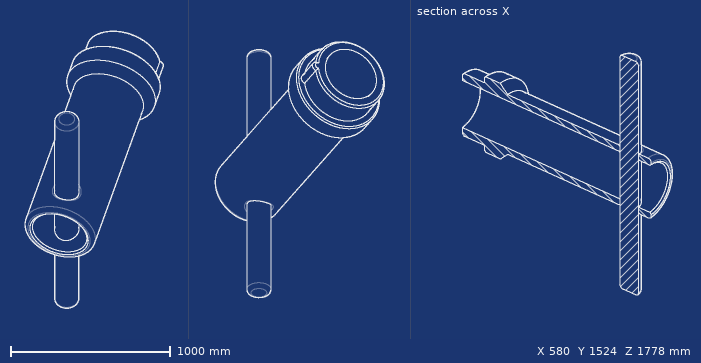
import cadquery as cq

bar_length = 1778.0
bar_radius = 76.0
bar_round = 27.0

tube_length = 1524.0
bar_setback = 180.0
tube_radius = 230.0
bore_radius = 178.0
mouth_round = 27.0
mouth_chamfer = 12.0
hole_round = 10.0
axis_height = -32.0

collar_radius = 290.0
collar_width = 128.0
collar_chamfer = 10.0
spigot_radius = 240.0
spigot_length = 178.0
spigot_chamfer = 15.0

key_radius = 34.0
key_reach = 261.0

front_y = -bar_setback
back_y = front_y + tube_length
collar_back_y = back_y - spigot_length
collar_front_y = collar_back_y - collar_width
cone_length = collar_radius - tube_radius


def make_bar():
    return cq.Workplane("XY", origin=(0, 0, -bar_length / 2)).circle(bar_radius).extrude(bar_length)


def make_handle():
    return make_bar().faces("<Z or >Z").edges().fillet(bar_round)


def make_tube_blank():
    """Revolved outline of the tube, given as (radius, y), before boring the bar holes."""
    profile = (
        cq.Workplane("XY")
        .moveTo(bore_radius + mouth_chamfer, front_y)
        .lineTo(tube_radius - mouth_round, front_y)
        .radiusArc((tube_radius, front_y + mouth_round), -mouth_round)
        .lineTo(tube_radius, collar_front_y - cone_length)
        .lineTo(collar_radius, collar_front_y)
        .lineTo(collar_radius, collar_back_y - collar_chamfer)
        .lineTo(collar_radius - collar_chamfer, collar_back_y)
        .lineTo(spigot_radius, collar_back_y)
        .lineTo(spigot_radius, back_y - spigot_chamfer)
        .lineTo(spigot_radius - spigot_chamfer, back_y)
        .lineTo(bore_radius, back_y)
        .lineTo(bore_radius, front_y + mouth_chamfer)
        .close()
    )
    return profile.revolve(360, (0, 0, 0), (0, 1, 0))


def make_key():
    """Round key sunk into the spigot wall, chamfered like the spigot end."""
    key_center = (key_reach - key_radius, collar_back_y, 0)
    key = cq.Workplane("XZ", origin=key_center).circle(key_radius).extrude(-spigot_length)
    return key.faces(">Y").chamfer(spigot_chamfer)


def make_tube():
    tube = make_tube_blank().union(make_key()).translate((0, 0, axis_height))
    tube = tube.cut(make_bar())
    reach = bar_radius + hole_round
    wall_middle = (tube_radius + bore_radius) / 2
    for side in (1, -1):
        rim = cq.selectors.BoxSelector(
            (-reach, -reach, axis_height + side * wall_middle),
            (reach, reach, axis_height + side * (tube_radius + hole_round)),
        )
        tube = tube.edges(rim).fillet(hole_round)
    return tube


handle = make_handle()
tube = make_tube()

result = cq.Compound.makeCompound([handle.val(), tube.val()])